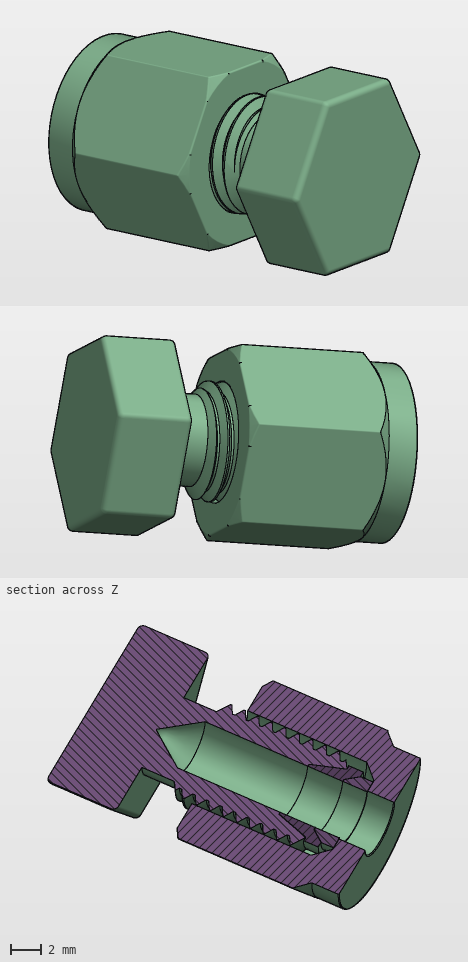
import cadquery as cq
import math


overall_length = 21.3
across_flats = 12.0
across_corners = across_flats / math.cos(math.radians(30))

nut_length = 11.9
nut_edge_radius = 0.12
collar_length = 2.015
collar_radius = 5.975
collar_edge_chamfer = 0.06
front_cone_angle = 45
rear_cone_angle = 32
rear_cone_radius = 6.2
nut_bore_radius = 2.08
nut_bore_chamfer = 0.07
nut_bore_length = 2.0
nut_seat_radius = 3.0
thread_clearance = 0.05

thread_radius = 4.0
thread_pitch = 1.0
thread_flank_angle = 30
thread_depth_ratio = 0.6134
thread_crest_ratio = 1 / 8
thread_depth = thread_depth_ratio * thread_pitch
thread_crest_width = thread_crest_ratio * thread_pitch
thread_root_radius = thread_radius - thread_depth
thread_top_crest_x = 12.83
envelope_margin = 0.3
thread_root_overlap = 0.1

tube_radius = 2.0
body_start_x = 4.0
thread_end_x = 13.71
lead_chamfer_length = 0.6
neck_radius = 3.07
head_length = 5.2
head_edge_radius = 0.4
tube_hole_end_x = 14.0
drill_point_angle = 75

back_ferrule_radius = 2.9
back_flange_length = 0.9
ferrule_tip_radius = 2.2
back_nose_length = 0.9
front_flange_radius = 3.3
front_nose_radius = 3.0
front_nose_length = 2.4

head_x = overall_length - head_length
back_flange_end_x = nut_bore_length + back_flange_length
back_tip_x = back_flange_end_x + back_nose_length
front_tip_x = body_start_x + front_nose_length


def revolve(points):
    """Solid of revolution about X from (x, radius) points."""
    return cq.Workplane("XY").polyline(points).close().revolve(360, (0, 0, 0), (1, 0, 0))


def hexagon(start_x, length):
    """Hexagonal bar along X with corners at +Y and -Y."""
    return (
        cq.Workplane("YZ", origin=(start_x, 0, 0))
        .polygon(6, across_corners)
        .extrude(length)
    )


def make_nut():
    corner_radius = across_corners / 2
    corner_rise = corner_radius - collar_radius
    front_cone_length = corner_rise / math.tan(math.radians(front_cone_angle))
    rear_cone_length = (corner_radius - rear_cone_radius) * math.tan(math.radians(rear_cone_angle))
    envelope = revolve([
        (collar_length, 0),
        (collar_length, collar_radius),
        (collar_length + front_cone_length, corner_radius),
        (nut_length - rear_cone_length, corner_radius),
        (nut_length, rear_cone_radius),
        (nut_length, 0),
    ])
    hex_part = hexagon(collar_length, nut_length - collar_length)
    hex_part = hex_part.edges("|X").fillet(nut_edge_radius).intersect(envelope)
    rear_edges = cq.selectors.BoxSelector(
        (nut_length - rear_cone_length - nut_edge_radius, -across_flats, -across_flats),
        (nut_length + nut_edge_radius, across_flats, across_flats),
    )
    hex_part = hex_part.edges(rear_edges).fillet(nut_edge_radius)
    collar = (
        cq.Workplane("YZ")
        .circle(collar_radius)
        .extrude(collar_length)
        .faces("<X")
        .chamfer(collar_edge_chamfer)
    )
    cavity_radius = thread_radius + thread_clearance
    cavity_cone_length = cavity_radius - nut_seat_radius
    cavity = revolve([
        (0, 0),
        (0, nut_bore_radius + nut_bore_chamfer),
        (nut_bore_chamfer, nut_bore_radius),
        (nut_bore_length, nut_bore_radius),
        (nut_bore_length, nut_seat_radius),
        (nut_bore_length + cavity_cone_length, cavity_radius),
        (nut_length, cavity_radius),
        (nut_length, 0),
    ])
    return collar.union(hex_part).cut(cavity)


def make_back_ferrule():
    """Ring against the nut seat, with a tapered nose."""
    return revolve([
        (nut_bore_length, tube_radius),
        (nut_bore_length, back_ferrule_radius),
        (back_flange_end_x, back_ferrule_radius),
        (back_tip_x, ferrule_tip_radius),
        (back_tip_x, tube_radius),
    ])


def make_front_ferrule():
    """Ring that takes the back ferrule's nose and tapers into the body."""
    return revolve([
        (back_tip_x, tube_radius),
        (back_tip_x, ferrule_tip_radius),
        (back_flange_end_x, back_ferrule_radius),
        (back_flange_end_x, front_flange_radius),
        (body_start_x, front_flange_radius),
        (body_start_x, front_nose_radius),
        (front_tip_x, ferrule_tip_radius),
        (front_tip_x, tube_radius),
    ])


def make_thread_ridge():
    """Right-handed helical ridge, whole turns, running past both ends of the thread."""
    turns_to_start = math.ceil((thread_top_crest_x - body_start_x) / thread_pitch) + 1
    turns_to_end = math.ceil((thread_end_x - thread_top_crest_x) / thread_pitch) + 1
    turns = turns_to_start + turns_to_end
    start_x = thread_top_crest_x - turns_to_start * thread_pitch
    inner_radius = thread_root_radius - thread_root_overlap
    half_crest = thread_crest_width / 2
    flank_run = (thread_radius - inner_radius) * math.tan(math.radians(thread_flank_angle))
    half_base = half_crest + flank_run
    helix = cq.Wire.makeHelix(thread_pitch, turns * thread_pitch, inner_radius)
    ridge = (
        cq.Workplane("XZ")
        .polyline([
            (inner_radius, -half_base),
            (thread_radius, -half_crest),
            (thread_radius, half_crest),
            (inner_radius, half_base),
        ])
        .close()
        .sweep(cq.Workplane(obj=helix), isFrenet=True)
    )
    return (
        ridge.rotate((0, 0, 0), (0, 1, 0), 90)
        .rotate((0, 0, 0), (1, 0, 0), 180)
        .translate((start_x, 0, 0))
    )


def make_threaded_shank():
    """Threaded core with both ends of the thread chamfered."""
    chamfer_slope = lead_chamfer_length / (thread_radius - neck_radius)
    root_chamfer_length = (thread_root_radius - neck_radius) * chamfer_slope
    core = revolve([
        (body_start_x, 0),
        (body_start_x, neck_radius),
        (body_start_x + root_chamfer_length, thread_root_radius),
        (thread_end_x - root_chamfer_length, thread_root_radius),
        (thread_end_x, neck_radius),
        (thread_end_x, 0),
    ])
    envelope_radius = thread_radius + envelope_margin
    envelope_rise = envelope_radius - neck_radius
    ridge_envelope = revolve([
        (body_start_x, 0),
        (body_start_x, neck_radius),
        (body_start_x + envelope_rise * chamfer_slope, envelope_radius),
        (thread_end_x - envelope_rise * chamfer_slope, envelope_radius),
        (thread_end_x, neck_radius),
        (thread_end_x, 0),
    ])
    return core.union(make_thread_ridge().intersect(ridge_envelope))


def make_body():
    neck = (
        cq.Workplane("YZ", origin=(thread_end_x, 0, 0))
        .circle(neck_radius)
        .extrude(head_x - thread_end_x)
    )
    head = hexagon(head_x, head_length).edges().fillet(head_edge_radius)
    drill_point_length = tube_radius / math.tan(math.radians(drill_point_angle / 2))
    tube_hole = revolve([
        (body_start_x, 0),
        (body_start_x, front_nose_radius),
        (front_tip_x, ferrule_tip_radius),
        (front_tip_x, tube_radius),
        (tube_hole_end_x, tube_radius),
        (tube_hole_end_x + drill_point_length, 0),
    ])
    return make_threaded_shank().union(neck).union(head).cut(tube_hole)


nut = make_nut()
back_ferrule = make_back_ferrule()
front_ferrule = make_front_ferrule()
body = make_body()

result = cq.Compound.makeCompound([
    nut.val(),
    back_ferrule.val(),
    front_ferrule.val(),
    body.val(),
])